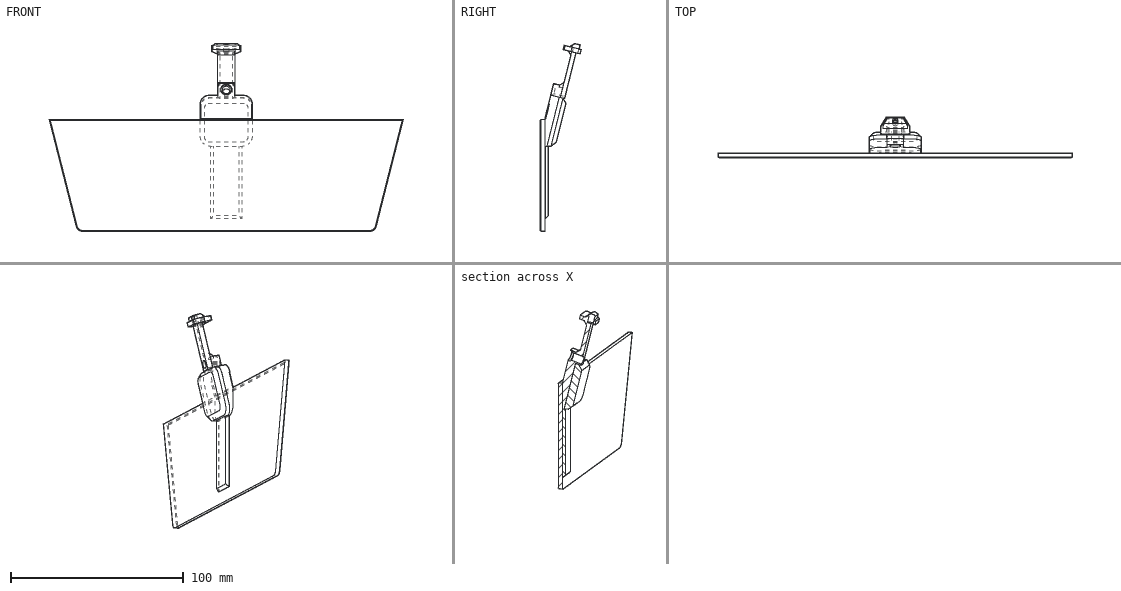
import cadquery as cq
import math

PANEL_TOP_WIDTH = 205.0
PANEL_BOTTOM_WIDTH = 172.1
PANEL_HEIGHT = 64.7
PANEL_THICKNESS = 2.9
PANEL_CORNER_RADIUS = 3.7
PANEL_EDGE_CHAMFER = 0.51

LEAN_ANGLE = 14.0
LIP_OVERHANG = 0.2
LIP_RISE = 0.51

HOUSING_WIDTH = 30.3
HOUSING_DEPTH = 9.8
HOUSING_TOP = 14.0
HOUSING_TOP_RADIUS = 5.5
HOUSING_BACK_CHAMFER = 2.5
HOUSING_BOTTOM_Z = 49.2
HOUSING_BOTTOM_RADIUS = 6.1
HOUSING_FRONT_CHAMFER = 0.6
SEAM_DEPTH = 5.1

ARM_WIDTH = 10.2
ARM_FRONT = 5.7
ARM_THICKNESS = 2.7
SIDE_TAPER = 30.0
GUSSET = 2.0

BLOCK_WIDTH = 9.5
BLOCK_TOP = 21.0
BLOCK_CORNER_RADIUS = 1.2
SCREW_HEIGHT = 17.5
SCREW_HEAD_DIAMETER = 6.1
SCREW_HEAD_DEPTH = 1.6
SCREW_DIAMETER = 4.5

HEAD_WIDTH = 16.8
HEAD_FRONT = 0.6
HEAD_FRONT_CHAMFER = 0.6
HEAD_TAPER_START = 5.3
HEAD_BACK = 10.9
HEAD_BOTTOM = 41.2
HEAD_THICKNESS = 2.7
BOSS_INSET = 1.2
BOSS_HEIGHT = 2.5
BOSS_FRONT = 3.9
SOCKET_DIAMETER = 3.3
SOCKET_CENTRE = 7.8

PAD_BOTTOM_Z = 7.4
PAD_THICKNESS = 1.8
PAD_CHAMFER = 1.6
PAD_WIDTH = 18.0

LIP_Y = PANEL_THICKNESS - LIP_OVERHANG
LIP_Z = PANEL_HEIGHT + LIP_RISE
TAPER_SLOPE = math.tan(math.radians(SIDE_TAPER))
HEAD_TOP = HEAD_BOTTOM + HEAD_THICKNESS
BOSS_TOP = HEAD_TOP + BOSS_HEIGHT
REACH = 2 * HOUSING_BOTTOM_Z


def lean(body):
    """Move a body from the leaning frame to its place behind the panel."""
    turned = body.rotate((0, 0, 0), (1, 0, 0), -LEAN_ANGLE)
    return turned.translate((0, LIP_Y, LIP_Z))


def prism_across(points, width):
    """Extrude a (depth, height) outline across X, centred."""
    return cq.Workplane("YZ").polyline(points).close().extrude(width / 2, both=True)


def prism_up(points, bottom, top):
    """Extrude an (x, depth) outline from one height to another."""
    return cq.Workplane("XY").workplane(offset=bottom).polyline(points).close().extrude(top - bottom)


def hole_along_depth(diameter, start, end, height):
    """Cylinder along the depth direction at X = 0."""
    plane = cq.Workplane("XZ", origin=(0, start, height))
    return plane.circle(diameter / 2).extrude(start - end)


def make_panel():
    """Trapezoid plate with rounded bottom corners and a bevelled front rim."""
    top = PANEL_TOP_WIDTH / 2
    bottom = PANEL_BOTTOM_WIDTH / 2
    outline = [(-bottom, 0), (bottom, 0), (top, PANEL_HEIGHT), (-top, PANEL_HEIGHT)]
    plate = cq.Workplane("XZ").polyline(outline).close().extrude(-PANEL_THICKNESS)
    plate = plate.edges("|Y and <Z").fillet(PANEL_CORNER_RADIUS)
    return plate.faces("<Y").chamfer(PANEL_EDGE_CHAMFER)


def make_pad():
    """Strip with bevelled sides and bottom, its flat top against the housing."""
    height = HOUSING_BOTTOM_Z - PAD_BOTTOM_Z
    pad = cq.Workplane("XY").box(PAD_WIDTH, PAD_THICKNESS, height, centered=(True, False, False))
    pad = pad.edges(">Y and (not >Z)").chamfer(PAD_CHAMFER)
    return pad.translate((0, PANEL_THICKNESS, PAD_BOTTOM_Z))


def panel_clearance():
    """Space kept free for the panel, with a 45 degree bevel under the leaning lip."""
    bevel_drop = LIP_OVERHANG * math.tan(math.radians(45 - LEAN_ANGLE))
    outline = [
        (-REACH, 0), (PANEL_THICKNESS, 0), (PANEL_THICKNESS, LIP_Z - bevel_drop),
        (LIP_Y, LIP_Z), (-REACH, LIP_Z),
    ]
    return prism_across(outline, 2 * HOUSING_WIDTH)


def make_housing():
    """Whole housing in place, before it is split at the seam."""
    top = (
        cq.Workplane("XY")
        .box(HOUSING_WIDTH, HOUSING_DEPTH, REACH, centered=(True, False, False))
        .translate((0, 0, HOUSING_TOP - REACH))
        .edges("|Y and >Z")
        .fillet(HOUSING_TOP_RADIUS)
    )
    bottom = (
        cq.Workplane("XY")
        .box(HOUSING_WIDTH, REACH, REACH, centered=(True, False, False))
        .translate((0, 0, HOUSING_BOTTOM_Z))
        .edges("|Y and <Z")
        .fillet(HOUSING_BOTTOM_RADIUS)
    )
    housing = lean(top).intersect(bottom).cut(panel_clearance())
    lean_radians = math.radians(LEAN_ANGLE)
    back = cq.Vector(0, math.cos(lean_radians), -math.sin(lean_radians))
    return housing.faces(cq.selectors.DirectionMinMaxSelector(back)).chamfer(HOUSING_BACK_CHAMFER)


def front_edge_bevels():
    """Cutters for the straight side edges of the housing's front, above the lip."""
    side = HOUSING_WIDTH / 2
    top = HOUSING_TOP - HOUSING_TOP_RADIUS
    bevels = []
    for sign in (-1, 1):
        inner = sign * (side - HOUSING_FRONT_CHAMFER)
        corner = [(inner, 0), (sign * side, 0), (sign * side, HOUSING_FRONT_CHAMFER)]
        bevels.append(prism_up(corner, 0, top))
    return bevels


def make_block():
    """Screw block standing on the front half, with its gusset against the arm."""
    outline = [(0, HOUSING_TOP), (0, BLOCK_TOP), (ARM_FRONT, BLOCK_TOP), (ARM_FRONT, HOUSING_TOP)]
    block = prism_across(outline, BLOCK_WIDTH).edges("|Y and >Z").fillet(BLOCK_CORNER_RADIUS)
    gusset = [
        (ARM_FRONT - GUSSET, BLOCK_TOP - GUSSET),
        (ARM_FRONT - GUSSET, BLOCK_TOP),
        (ARM_FRONT, BLOCK_TOP + GUSSET),
        (ARM_FRONT, BLOCK_TOP - GUSSET),
    ]
    return block.union(prism_across(gusset, BLOCK_WIDTH))


def make_arm():
    """Strip with tapered sides, standing on the back half, with a gusset under the head."""
    front = ARM_WIDTH / 2
    back = front - ARM_THICKNESS * TAPER_SLOPE
    rear = ARM_FRONT + ARM_THICKNESS
    outline = [(-front, ARM_FRONT), (front, ARM_FRONT), (back, rear), (-back, rear)]
    arm = prism_up(outline, HOUSING_TOP, HEAD_BOTTOM)
    gusset = [
        (ARM_FRONT - GUSSET, HEAD_BOTTOM),
        (ARM_FRONT, HEAD_BOTTOM),
        (ARM_FRONT, HEAD_BOTTOM - GUSSET),
    ]
    return arm.union(prism_across(gusset, BLOCK_WIDTH))


def head_outline(front, back, inset):
    """Straight sides, then sides tapering to a narrower back."""
    half = HEAD_WIDTH / 2 - inset
    narrow = half - (back - HEAD_TAPER_START) * TAPER_SLOPE
    return [
        (-half, front), (half, front), (half, HEAD_TAPER_START),
        (narrow, back), (-narrow, back), (-half, HEAD_TAPER_START),
    ]


def make_head():
    """Slab across the top of the arm, with an inset boss and a socket through both."""
    slab = prism_up(head_outline(HEAD_FRONT, HEAD_BACK, 0), HEAD_BOTTOM, HEAD_TOP)
    slab = slab.edges("|Z and <Y").chamfer(HEAD_FRONT_CHAMFER)
    boss = prism_up(head_outline(BOSS_FRONT, HEAD_BACK - BOSS_INSET, BOSS_INSET), HEAD_TOP, BOSS_TOP)
    corner = [(BOSS_FRONT, HEAD_TOP), (BOSS_FRONT, BOSS_TOP), (BOSS_FRONT + BOSS_HEIGHT, BOSS_TOP)]
    boss = boss.cut(prism_across(corner, HEAD_WIDTH))
    socket = (
        cq.Workplane("XY", origin=(0, SOCKET_CENTRE, HEAD_BOTTOM))
        .circle(SOCKET_DIAMETER / 2)
        .extrude(BOSS_TOP - HEAD_BOTTOM)
    )
    return slab.union(boss).cut(socket)


def make_holder(front_half):
    """Front half of the housing in one piece with the block, arm and head."""
    upper = make_block().union(make_arm()).union(make_head())
    upper = upper.cut(hole_along_depth(SCREW_HEAD_DIAMETER, 0, SCREW_HEAD_DEPTH, SCREW_HEIGHT))
    upper = upper.cut(hole_along_depth(SCREW_DIAMETER, 0, HOUSING_DEPTH, SCREW_HEIGHT))
    return front_half.union(lean(upper))


housing = make_housing()
for bevel in front_edge_bevels():
    housing = housing.cut(lean(bevel))
front_side = lean(cq.Workplane("XY").box(2 * HOUSING_WIDTH, 2 * SEAM_DEPTH, 2 * REACH))

panel = make_panel()
pad = make_pad()
back_cover = housing.cut(front_side)
holder = make_holder(housing.intersect(front_side))

result = cq.Compound.makeCompound([panel.val(), pad.val(), holder.val(), back_cover.val()])